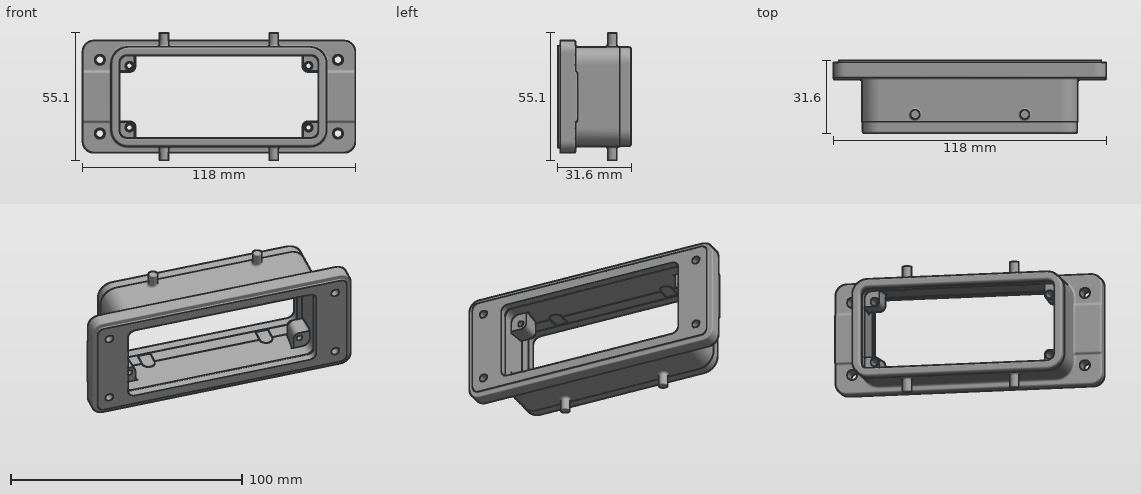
import cadquery as cq
import math

flange_width = 118.0
flange_height = 48.6
flange_corner = 5.1
flange_front_fillet = 0.8
flange_back_fillet = 0.5
flange_front = 7.7
rim_depth = 1.0
rim_inset = 2.2
rim_root_fillet = 0.4

pad_height = 0.8
pad_half_length = 10.9
pad_ramp = 1.7

collar_width = 93.3
collar_height = 43.1
collar_corner = 7.5
collar_root_fillet = 1.0
lip_width = 92.9
lip_height = 43.0
lip_corner = 6.8
lip_start = 26.7
total_depth = 31.6
lip_fillet = 1.0

opening_width = 85.8
opening_height = 35.5
opening_corner = 3.2
relief_step = 0.2
relief_back = 4.1
boss_front = 20.6

boss_back = 10.6
boss_radius = 2.7
boss_taper = 3.0
boss_foot_fillet = 1.0
boss_embed = 1.0
boss_x = 38.7
boss_z = 13.3
boss_hole = 3.5
boss_hole_back = 2.6

mount_x = 51.5
mount_z = 15.9
mount_hole = 4.5
mount_hole_back = 3.5

slot_x = 26.8
slot_width = 5.7
slot_depth = 0.2

pin_x = 23.7
pin_y = -23.5
pin_diameter = 4.0
pin_span = 55.1
pin_tip_fillet = 0.4
pin_root_fillet = 1.1
pin_embed = 1.2

ARC_MIDPOINT = 1 - math.sqrt(0.5)


def rounded_block(width, height, corner, start, end):
    """Block centred on the Y axis, from depth `start` to depth `end`, with round corners."""
    block = cq.Workplane("XZ").workplane(offset=start).rect(width, height).extrude(end - start)
    return block.edges("|Y").fillet(corner)


def outline_edges(body, width, height, start, end):
    """Edges of the body inside a centred width x height window, between depths `start` and `end`."""
    slack = 0.01
    window = cq.selectors.BoxSelector(
        (-width / 2 - slack, -end - slack, -height / 2 - slack),
        (width / 2 + slack, -start + slack, height / 2 + slack),
    )
    return body.edges(window)


def widened_opening(growth, start, end):
    """Block for cutting the opening, larger than its basic outline by `growth` on every side."""
    return rounded_block(
        opening_width + 2 * growth, opening_height + 2 * growth, opening_corner + growth, start, end
    )


def pad_band():
    """Band across the whole flange; each side ramps to the flange along two tangent arcs."""
    foot = pad_half_length + pad_ramp / 2
    crest = pad_half_length - pad_ramp / 2
    ramp_angle = 2 * math.atan(pad_height / pad_ramp)
    ramp_radius = pad_ramp / (2 * math.sin(ramp_angle))
    face = -flange_front
    top = face - pad_height
    middle = face - pad_height / 2
    rise = ramp_radius * (1 - math.cos(ramp_angle / 2))
    run = ramp_radius * math.sin(ramp_angle / 2)
    return (
        cq.Workplane("YZ")
        .workplane(offset=-flange_width / 2)
        .moveTo(-rim_depth - flange_back_fillet, -foot)
        .lineTo(face, -foot)
        .threePointArc((face - rise, -foot + run), (middle, -pad_half_length))
        .threePointArc((top + rise, -crest - run), (top, -crest))
        .lineTo(top, crest)
        .threePointArc((top + rise, crest + run), (middle, pad_half_length))
        .threePointArc((face - rise, foot - run), (face, foot))
        .lineTo(-rim_depth - flange_back_fillet, foot)
        .close()
        .extrude(flange_width)
    )


def flange():
    """Plate with end pads, rounded front and back edges, and the rim behind it."""
    plate = rounded_block(flange_width, flange_height, flange_corner, rim_depth, flange_front)
    plate = plate.faces(">Y").edges().fillet(flange_back_fillet)
    plate = plate.union(pad_band())
    plate = plate.edges("<X").edges("<Y").fillet(flange_front_fillet)
    rim = rounded_block(
        flange_width - 2 * rim_inset, flange_height - 2 * rim_inset, flange_corner - rim_inset,
        0, rim_depth + flange_back_fillet,
    )
    plate = plate.union(rim)
    return outline_edges(
        plate, flange_width - 2 * rim_inset, flange_height - 2 * rim_inset, rim_depth, rim_depth
    ).fillet(rim_root_fillet)


def collar():
    """Outer wall standing on the flange, and the slightly smaller lip at its front."""
    wall = rounded_block(collar_width, collar_height, collar_corner, rim_depth, lip_start)
    lip = rounded_block(lip_width, lip_height, lip_corner, lip_start, total_depth)
    return wall, lip.faces("<Y").edges().fillet(lip_fillet)


def opening():
    """Through opening with a rounded front rim, two inner widenings and the wall slots."""
    cut = widened_opening(0, 0, total_depth)
    cut = cut.union(widened_opening(relief_step, relief_back, lip_start))
    cut = cut.union(widened_opening(2 * relief_step, relief_back, boss_front))
    slot_height = opening_height + 4 * relief_step + 2 * slot_depth
    for x in (-slot_x, slot_x):
        slot = (
            cq.Workplane("XY")
            .workplane(offset=-slot_height / 2)
            .center(x, -boss_front)
            .circle(slot_width / 2)
            .extrude(slot_height)
        )
        run = cq.Workplane("XY").box(slot_width, lip_start - boss_front, slot_height)
        cut = cut.union(slot).union(run.translate((x, -(lip_start + boss_front) / 2, 0)))
    return cut


def screw_boss():
    """Boss in the +X +Z corner; its sides flare into the walls and it narrows to the front."""
    wall_x = opening_width / 2 + 2 * relief_step
    wall_z = opening_height / 2 + 2 * relief_step
    side_x = boss_x - boss_radius
    side_z = boss_z - boss_radius
    nose = boss_radius * ARC_MIDPOINT
    foot = boss_foot_fillet
    foot_middle = foot * ARC_MIDPOINT
    return (
        cq.Workplane("XZ")
        .workplane(offset=boss_back)
        .moveTo(wall_x + boss_embed, wall_z + boss_embed)
        .lineTo(side_x - foot, wall_z + boss_embed)
        .lineTo(side_x - foot, wall_z)
        .threePointArc((side_x - foot_middle, wall_z - foot_middle), (side_x, wall_z - foot))
        .lineTo(side_x, boss_z)
        .threePointArc((side_x + nose, side_z + nose), (boss_x, side_z))
        .lineTo(wall_x - foot, side_z)
        .threePointArc((wall_x - foot_middle, side_z - foot_middle), (wall_x, side_z - foot))
        .lineTo(wall_x + boss_embed, side_z - foot)
        .close()
        .extrude(boss_front - boss_back, taper=boss_taper)
    )


def tapered_hole(x, z, front, front_diameter, back, back_diameter):
    """Conical plug along Y between the depths `front` and `back`."""
    return (
        cq.Workplane("XZ")
        .workplane(offset=back)
        .center(x, z)
        .circle(back_diameter / 2)
        .workplane(offset=front - back)
        .circle(front_diameter / 2)
        .loft(ruled=True)
    )


def pin():
    """Pin at +X on the +Z side: turned profile with a rounded tip and a flared foot on the wall."""
    radius = pin_diameter / 2
    wall = collar_height / 2
    foot = radius + pin_root_fillet
    bend = pin_root_fillet * ARC_MIDPOINT
    reach = pin_span / 2
    tip = pin_tip_fillet * ARC_MIDPOINT
    return (
        cq.Workplane("XZ")
        .moveTo(0, wall - pin_embed)
        .lineTo(foot, wall - pin_embed)
        .lineTo(foot, wall)
        .threePointArc((radius + bend, wall + bend), (radius, wall + pin_root_fillet))
        .lineTo(radius, reach - pin_tip_fillet)
        .threePointArc((radius - tip, reach - tip), (radius - pin_tip_fillet, reach))
        .lineTo(0, reach)
        .close()
        .revolve(360, (0, 0, 0), (0, 1, 0))
        .translate((pin_x, pin_y, 0))
    )


def copy_to_quadrants(solid):
    """Four copies of a solid from the +X +Z corner, mirrored across X and across Z."""
    upper = solid.union(solid.mirror("YZ"))
    return upper.union(upper.mirror("XY"))


wall, lip = collar()
shell = flange().union(wall)
root = outline_edges(shell, collar_width, collar_height, flange_front, flange_front + pad_height)
shell = root.fillet(collar_root_fillet).union(lip)

shell = shell.cut(opening())
mouth = outline_edges(shell, opening_width, opening_height, total_depth, total_depth)
shell = mouth.fillet(lip_fillet)

mount_plug = tapered_hole(mount_x, mount_z, flange_front, mount_hole, 0, mount_hole_back)
boss_plug = tapered_hole(boss_x, boss_z, boss_front, boss_hole, boss_back, boss_hole_back)
result = (
    shell.union(copy_to_quadrants(screw_boss()))
    .union(copy_to_quadrants(pin()))
    .cut(copy_to_quadrants(mount_plug))
    .cut(copy_to_quadrants(boss_plug))
)